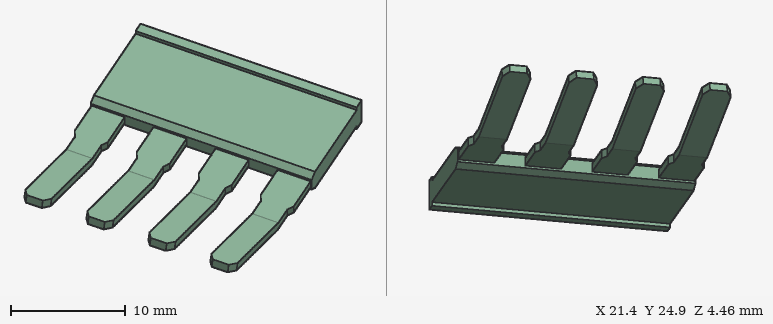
import cadquery as cq
import math

total_length = 24.88
body_width = 21.4

body_length = 10.0
body_height = 2.05
flange_length = 1.0
flange_height = 2.7
nose_bevel_length = 0.67
nose_height = 1.2

prong_count = 4
prong_pitch = 6.0
prong_thickness = 0.77
prong_width = 2.55
shoulder_width = 3.2
shoulder_end = 13.39
neck_start = 13.95
bend_start = 15.8
bend_angle = 17.0
tip_width = 1.55
tip_taper_length = 0.77

angle = math.radians(bend_angle)
half_thickness = prong_thickness / 2
arm_length = (total_length - bend_start - half_thickness * math.sin(angle)) / math.cos(angle)


def make_body():
    """Flanged bar with a bevelled nose, extruded across the full width."""
    upper_outline = [
        (0, flange_height / 2),
        (-flange_length, flange_height / 2),
        (-flange_length, body_height / 2),
        (-(body_length - nose_bevel_length), body_height / 2),
        (-body_length, nose_height / 2),
    ]
    lower_outline = [(y, -z) for y, z in reversed(upper_outline)]
    return (
        cq.Workplane("YZ")
        .polyline(upper_outline + lower_outline)
        .close()
        .extrude(body_width / 2, both=True)
    )


def make_shoulder():
    """Wide root of a prong, tapering to the prong width."""
    outline = [
        (-shoulder_width / 2, -body_length),
        (-shoulder_width / 2, -shoulder_end),
        (-prong_width / 2, -neck_start),
        (prong_width / 2, -neck_start),
        (shoulder_width / 2, -shoulder_end),
        (shoulder_width / 2, -body_length),
    ]
    return cq.Workplane("XY").polyline(outline).close().extrude(half_thickness, both=True)


def make_bent_strip():
    """Strip of constant thickness, mitred at the bend and square at the tip."""
    miter_shift = half_thickness * math.tan(angle / 2)
    tip_y = -(bend_start + arm_length * math.cos(angle))
    tip_z = arm_length * math.sin(angle)
    normal_y = half_thickness * math.sin(angle)
    normal_z = half_thickness * math.cos(angle)
    outline = [
        (-body_length, half_thickness),
        (-(bend_start - miter_shift), half_thickness),
        (tip_y + normal_y, tip_z + normal_z),
        (tip_y - normal_y, tip_z - normal_z),
        (-(bend_start + miter_shift), -half_thickness),
        (-body_length, -half_thickness),
    ]
    return cq.Workplane("YZ").polyline(outline).close().extrude(prong_width / 2, both=True)


def make_tip_corner(side):
    """Triangular prism, square to the bent arm, that removes one tip corner."""
    arm_plane = cq.Plane(
        origin=(0, -bend_start, 0),
        xDir=(1, 0, 0),
        normal=(0, math.sin(angle), math.cos(angle)),
    )
    corner = [
        (side * prong_width / 2, -arm_length),
        (side * tip_width / 2, -arm_length),
        (side * prong_width / 2, -(arm_length - tip_taper_length)),
    ]
    return cq.Workplane(arm_plane).polyline(corner).close().extrude(prong_thickness, both=True)


def make_prong():
    strip = make_bent_strip()
    for side in (-1, 1):
        strip = strip.cut(make_tip_corner(side))
    return strip.union(make_shoulder())


result = make_body()
prong = make_prong()
for index in range(prong_count):
    prong_x = (index - (prong_count - 1) / 2) * prong_pitch
    result = result.union(prong.translate((prong_x, 0, 0)))